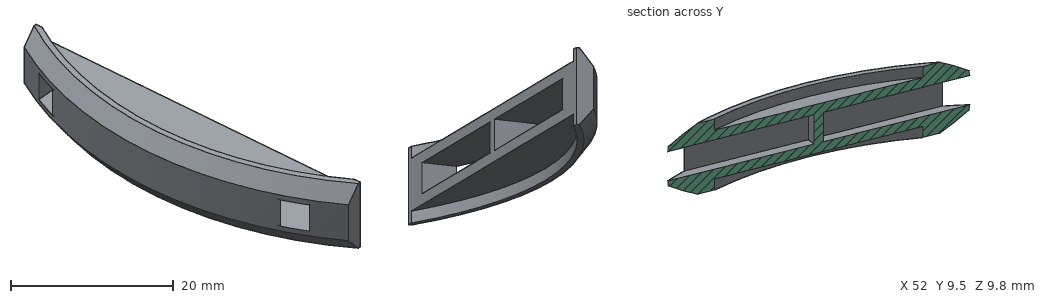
import cadquery as cq

length = 52.0
depth = 9.5
height = 9.8

end_depth = 2.3
bow_rise = depth - end_depth
front_radius = ((length / 2) ** 2 + bow_rise**2) / (2 * bow_rise)
center_y = front_radius - depth

bevel_height = 2.2
bevel_depth = 1.6

rim_width = 0.85
recess_depth = 1.5
recess_radius = front_radius - bevel_depth - rim_width

pocket_span = 43.35
pocket_height = 3.95
pocket_depth = 6.1
web_width = height / 2 - recess_depth - pocket_height / 2
pocket_length = (pocket_span - web_width) / 2
pocket_offset = (pocket_length + web_width) / 2


def make_body():
    """Revolve the bevelled profile about the bow axis and trim it to the flat back and ends."""
    half_height = height / 2
    bevel_start = half_height - bevel_height
    bevel_radius = front_radius - bevel_depth
    profile = [
        (0, -half_height),
        (bevel_radius, -half_height),
        (front_radius, -bevel_start),
        (front_radius, bevel_start),
        (bevel_radius, half_height),
        (0, half_height),
    ]
    disc = cq.Workplane("XZ").polyline(profile).close().revolve(360, (0, 0), (0, 1))
    envelope = cq.Workplane("XY").box(length, 2 * depth, height)
    return disc.translate((0, center_y, 0)).intersect(envelope.translate((0, -depth, 0)))


def make_recess(floor_z):
    """Shallow disc segment that leaves a narrow rim along the bowed front."""
    return (
        cq.Workplane("XY", origin=(0, center_y, floor_z))
        .circle(recess_radius)
        .extrude(recess_depth)
    )


def make_pockets():
    """Mirrored pair of box pockets, open across the flat back."""
    return (
        cq.Workplane("XZ")
        .pushPoints([(-pocket_offset, 0), (pocket_offset, 0)])
        .rect(pocket_length, pocket_height)
        .extrude(pocket_depth)
    )


top_recess = make_recess(height / 2 - recess_depth)
bottom_recess = make_recess(-height / 2)
result = make_body().cut(top_recess).cut(bottom_recess).cut(make_pockets())